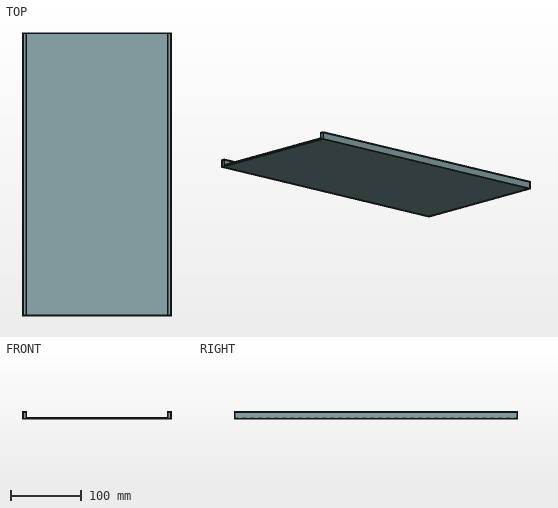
import cadquery as cq

WIDTH = 210.0
LENGTH = 400.0
HEIGHT = 10.0

RAIL_WIDTH = 5.0
FLOOR_THICKNESS = 2.0


def make_bar(width, height):
    """Full-length bar centred on X and Y, standing on Z = 0."""
    return cq.Workplane("XY").box(width, LENGTH, height, centered=(True, True, False))


def make_floor():
    """Thin flat sheet spanning the full width and length."""
    return make_bar(WIDTH, FLOOR_THICKNESS)


def make_rail(side):
    """Full-height rail along one long edge; side is -1 or +1 along X."""
    rail_center_x = side * (WIDTH - RAIL_WIDTH) / 2
    return make_bar(RAIL_WIDTH, HEIGHT).translate((rail_center_x, 0, 0))


result = make_floor()
for side in (-1, 1):
    result = result.union(make_rail(side))